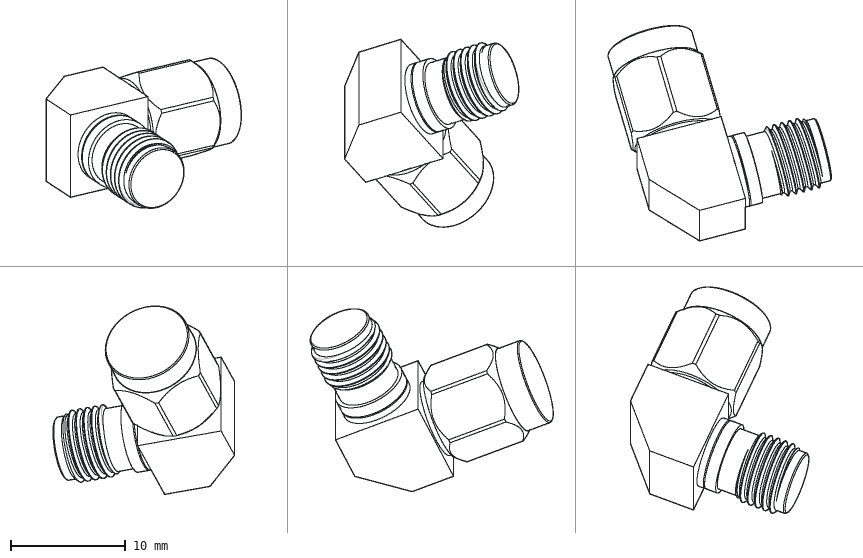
import cadquery as cq
import math


block_width = 7.61
block_depth = 7.87
block_height = 7.8
bevel_end_x = -0.33

neck_radius = 3.43
nut_start = 4.46
nut_end = 11.3
nut_across_flats = 7.95
nut_corner_radius = 4.5
nut_face_radius = 3.85
nut_bevel_length = 0.77
sleeve_radius = 3.81
sleeve_end = 13.48
sleeve_edge_break = 0.1

flange_radius = 3.17
groove_radius = 2.26
groove_start = 4.4
groove_width = 0.12
flange_end = 5.57
barrel_radius = 2.8
jack_end = 11.93
jack_edge_break = 0.12

thread_start = 7.28
thread_length = 3.83
thread_pitch = 0.7
thread_crest_radius = 3.17
thread_crest_width = 0.07
thread_flank_angle = 30.0
thread_root_overlap = 0.09
helix_start = 6.86
helix_turns = 7
thread_lead_in = 0.52


def cylinder_along_x(radius, start, end):
    return cq.Workplane("YZ", origin=(start, 0, 0)).circle(radius).extrude(end - start)


def cylinder_along_y(radius, start, end):
    return cq.Workplane("XZ", origin=(0, start, 0)).circle(radius).extrude(start - end)


def make_block():
    half_width = block_width / 2
    half_depth = block_depth / 2
    outline = [
        (-half_width, half_depth),
        (half_width, half_depth),
        (half_width, -half_depth),
        (bevel_end_x, -half_depth),
        (-half_width, 0),
    ]
    return cq.Workplane("XY").polyline(outline).close().extrude(block_height / 2, both=True)


def make_nut():
    across_corners = nut_across_flats / math.cos(math.radians(30))
    prism = (
        cq.Workplane("XZ", origin=(0, nut_start, 0))
        .transformed(rotate=(0, 0, 90))
        .polygon(6, across_corners)
        .extrude(nut_start - nut_end)
    )
    turned_profile = [
        (0, nut_start),
        (nut_face_radius, nut_start),
        (nut_corner_radius, nut_start + nut_bevel_length),
        (nut_corner_radius, nut_end - nut_bevel_length),
        (nut_face_radius, nut_end),
        (0, nut_end),
    ]
    turned_body = cq.Workplane("XY").polyline(turned_profile).close().revolve(360, (0, 0), (0, 1))
    return prism.intersect(turned_body)


def make_coupling():
    neck = cylinder_along_y(neck_radius, 0, nut_start)
    sleeve = cylinder_along_y(sleeve_radius, nut_start, sleeve_end)
    sleeve = sleeve.faces(">Y").chamfer(sleeve_edge_break)
    return neck.union(make_nut()).union(sleeve)


def make_thread():
    root_radius = barrel_radius - thread_root_overlap
    ridge_height = thread_crest_radius - root_radius
    half_crest = thread_crest_width / 2
    half_root = half_crest + ridge_height * math.tan(math.radians(thread_flank_angle))
    ridge_profile = [
        (root_radius, -half_root),
        (thread_crest_radius, -half_crest),
        (thread_crest_radius, half_crest),
        (root_radius, half_root),
    ]
    helix = cq.Wire.makeHelix(thread_pitch, helix_turns * thread_pitch, root_radius)
    ridge = cq.Workplane("XZ").polyline(ridge_profile).close().sweep(cq.Workplane(helix), isFrenet=True)
    ridge = ridge.rotate((0, 0, 0), (1, 1, 1), 120).translate((helix_start, 0, 0))
    trim = cylinder_along_x(barrel_radius + thread_lead_in, thread_start, thread_start + thread_length)
    trim = trim.faces("<X or >X").chamfer(thread_lead_in)
    return ridge.intersect(trim)


def make_jack():
    barrel = cylinder_along_x(barrel_radius, flange_end, jack_end)
    barrel = barrel.faces(">X").chamfer(jack_edge_break)
    inner_flange = cylinder_along_x(flange_radius, 0, groove_start)
    groove_floor = cylinder_along_x(groove_radius, 0, flange_end)
    outer_flange = cylinder_along_x(flange_radius, groove_start + groove_width, flange_end)
    return barrel.union(inner_flange).union(groove_floor).union(outer_flange).union(make_thread())


result = make_block().union(make_coupling()).union(make_jack())